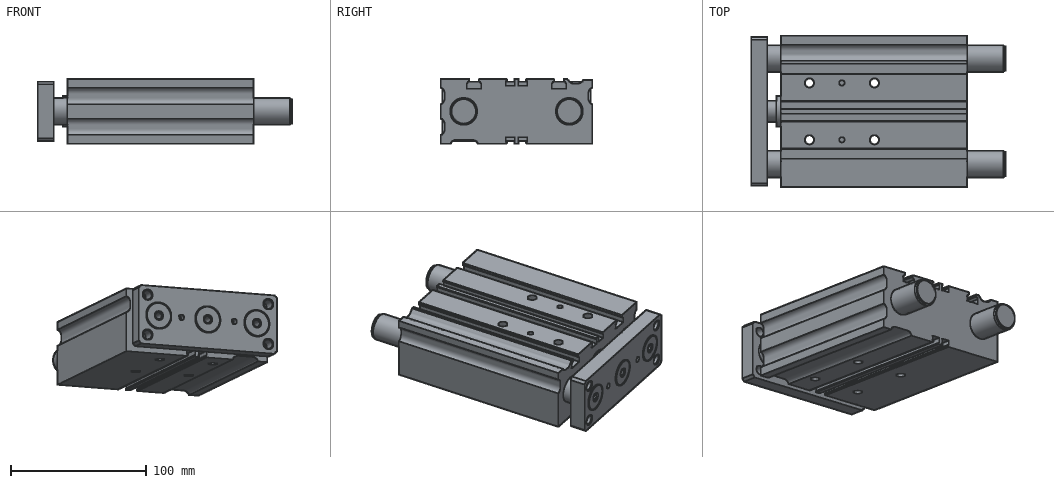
import cadquery as cq
import math


overall_length = 188.0

plate_width = 110.0
plate_height = 44.0
plate_thickness = 12.0
plate_chamfer = 2.0
plate_screw_y = 48.0
plate_screw_z = 15.0
plate_screw_bore = 6.8
plate_screw_mouth = 8.0
plate_screw_mouth_angle = 90.0

pin_diameter = 4.0
pin_depth = 6.0
pin_y = 21.0

housing_start = 22.0
housing_length = 137.5
housing_width = 112.0
housing_height = 48.0
half_width = housing_width / 2
half_height = housing_height / 2

mount_hole_diameter = 6.6
mount_hole_x = (housing_start + 21.0, housing_start + 69.0)
housing_pin_x = sum(mount_hole_x) / len(mount_hole_x)

guide_rod_diameter = 20.0
guide_rod_y = 39.0
guide_tip_diameter = 18.0
guide_tip_length = 1.0

piston_rod_diameter = 16.0
piston_head_diameter = 20.0
piston_rod_end = housing_start + 40.0

rod_face_chamfer = 0.6
rod_tap_diameter = 5.0
rod_tap_mouth = 6.8
rod_tap_depth = 12.0
drill_point_angle = 118.0

collar_diameter = 23.0
collar_start = 18.5
collar_seat_depth = 4.0

groove_depth = 3.0
groove_bevel_width = 0.4
groove_bevel_depth = 0.9
groove_arc_width = 3.9
side_groove_floor = 3.4
side_groove_z = 11.4
bottom_groove_floor = 11.4
bottom_groove_y = -38.6

channel_shoulder_drop = 0.7
channel_shoulder_y = 49.2
channel_floor_outer_y = 44.9
channel_floor_inner_y = 42.4
channel_floor_depth = 3.6
channel_slope_y = 39.3
channel_rib_y = 37.3

slot_inner_y = 27.9
slot_outer_y = 35.0
slot_undercut = 1.7
slot_lip = 1.7
slot_depth = 7.2
slot_edge_chamfer = 0.5

middle_rib_half = 1.8
middle_rib_undercut = 0.4
middle_slot_edge = 7.0
middle_undercut = 0.9
middle_edge_chamfer = 0.7
middle_lip = 0.9
middle_slot_depth = 5.0


def cylinder_x(diameter, start, end, y=0.0):
    """Cylinder along X between two X positions, on the plane Z = 0."""
    return (
        cq.Workplane("YZ", origin=(start, y, 0))
        .circle(diameter / 2)
        .extrude(end - start)
    )


def along_housing(profile):
    """Extrude a closed YZ profile over the housing length."""
    return profile.extrude(housing_length)


def housing_plane():
    """YZ plane at the housing's plate-side end."""
    return cq.Workplane("YZ", origin=(housing_start, 0, 0))


def turn_x(body, angle):
    """Turn a body about the X axis by an angle in degrees."""
    return body.rotate((0, 0, 0), (1, 0, 0), angle)


def arc_rise_middle(width, rise):
    """Middle point of an arc that leaves a flat floor tangentially."""
    half_turn = math.atan2(rise, width)
    radius = width / math.sin(2 * half_turn)
    return radius * math.sin(half_turn), radius * (1 - math.cos(half_turn))


def rounded_groove(floor_width):
    """Groove cutter whose open side lies on Z = 0, centred on Y = 0."""
    floor_half = floor_width / 2
    arc_end = floor_half + groove_arc_width
    edge = arc_end + groove_bevel_width
    mid_y, mid_rise = arc_rise_middle(groove_arc_width, groove_depth - groove_bevel_depth)
    mid_z = mid_rise - groove_depth
    return along_housing(
        housing_plane()
        .moveTo(-edge, 0)
        .lineTo(-arc_end, -groove_bevel_depth)
        .threePointArc((-floor_half - mid_y, mid_z), (-floor_half, -groove_depth))
        .lineTo(floor_half, -groove_depth)
        .threePointArc((floor_half + mid_y, mid_z), (arc_end, -groove_bevel_depth))
        .lineTo(edge, 0)
        .close()
    )


def top_channel():
    """Round channel between the low shoulder and the 45-degree flank of the rib."""
    shoulder_z = half_height - channel_shoulder_drop
    floor_z = half_height - channel_floor_depth
    slope_z = half_height - (channel_slope_y - channel_rib_y)
    outer_width = channel_shoulder_y - channel_floor_outer_y
    inner_width = channel_floor_inner_y - channel_slope_y
    outer_mid, outer_rise = arc_rise_middle(outer_width, shoulder_z - floor_z)
    inner_mid, inner_rise = arc_rise_middle(inner_width, slope_z - floor_z)
    return along_housing(
        housing_plane()
        .moveTo(half_width, half_height)
        .lineTo(half_width, shoulder_z)
        .lineTo(channel_shoulder_y, shoulder_z)
        .threePointArc(
            (channel_floor_outer_y + outer_mid, floor_z + outer_rise),
            (channel_floor_outer_y, floor_z),
        )
        .lineTo(channel_floor_inner_y, floor_z)
        .threePointArc(
            (channel_floor_inner_y - inner_mid, floor_z + inner_rise),
            (channel_slope_y, slope_z),
        )
        .lineTo(channel_rib_y, half_height)
        .close()
    )


def t_slot():
    """T-slot cutter on the +Y half of the top face."""
    undercut_z = half_height - slot_lip - slot_undercut
    lip_z = half_height - slot_lip
    floor_z = half_height - slot_depth
    return along_housing(
        housing_plane().polyline([
            (slot_inner_y - slot_edge_chamfer, half_height),
            (slot_inner_y, half_height - slot_edge_chamfer),
            (slot_inner_y, lip_z),
            (slot_inner_y - slot_undercut, undercut_z),
            (slot_inner_y - slot_undercut, floor_z),
            (slot_outer_y + slot_undercut, floor_z),
            (slot_outer_y + slot_undercut, undercut_z),
            (slot_outer_y, lip_z),
            (slot_outer_y, half_height),
        ]).close()
    )


def middle_slot():
    """Undercut slot cutter on the +Y side of the middle rib of the top face."""
    lip_z = half_height - middle_lip
    undercut_z = lip_z - middle_undercut
    floor_z = half_height - middle_slot_depth
    return along_housing(
        housing_plane().polyline([
            (middle_rib_half, half_height),
            (middle_rib_half, lip_z),
            (middle_rib_half - middle_rib_undercut, lip_z - middle_rib_undercut),
            (middle_rib_half - middle_rib_undercut, floor_z),
            (middle_slot_edge + middle_undercut, floor_z),
            (middle_slot_edge + middle_undercut, undercut_z),
            (middle_slot_edge, lip_z),
            (middle_slot_edge, half_height - middle_edge_chamfer),
            (middle_slot_edge + middle_edge_chamfer, half_height),
        ]).close()
    )


def make_housing():
    body = along_housing(housing_plane().rect(housing_width, housing_height))

    side_groove = rounded_groove(side_groove_floor)
    minus_y_groove = turn_x(side_groove, 90).translate((0, -half_width, 0))
    plus_y_groove = turn_x(side_groove, -90).translate((0, half_width, 0))
    body = body.cut(minus_y_groove.translate((0, 0, side_groove_z)))
    body = body.cut(minus_y_groove.translate((0, 0, -side_groove_z)))
    body = body.cut(plus_y_groove.translate((0, 0, side_groove_z)))

    bottom_groove = turn_x(rounded_groove(bottom_groove_floor), 180)
    body = body.cut(bottom_groove.translate((0, bottom_groove_y, -half_height)))

    body = body.cut(top_channel())
    body = body.cut(t_slot()).cut(t_slot().mirror("XZ"))
    for slot in (middle_slot(), middle_slot().mirror("XZ")):
        body = body.cut(slot).cut(slot.mirror("XY"))

    top = cq.Workplane("XY", origin=(0, 0, half_height))
    for y in (-pin_y, pin_y):
        mount_points = [(x, y) for x in mount_hole_x]
        mount_holes = top.pushPoints(mount_points).circle(mount_hole_diameter / 2)
        body = body.cut(mount_holes.extrude(-housing_height))
        pin_hole = top.center(housing_pin_x, y).circle(pin_diameter / 2)
        body = body.cut(pin_hole.extrude(-pin_depth))

    housing_end = housing_start + housing_length
    for y in (-guide_rod_y, guide_rod_y):
        body = body.cut(cylinder_x(guide_rod_diameter, housing_start, housing_end, y))
    body = body.cut(cylinder_x(piston_rod_diameter, housing_start, piston_rod_end))
    collar_seat_end = housing_start + collar_seat_depth
    return body.cut(cylinder_x(collar_diameter, housing_start, collar_seat_end))


def make_plate():
    body = (
        cq.Workplane("YZ")
        .rect(plate_width, plate_height)
        .extrude(plate_thickness)
        .edges("|X")
        .chamfer(plate_chamfer)
    )
    body = (
        body.faces("<X")
        .workplane(origin=(0, 0, 0))
        .rect(2 * plate_screw_y, 2 * plate_screw_z, forConstruction=True)
        .vertices()
        .cskHole(plate_screw_bore, plate_screw_mouth, plate_screw_mouth_angle)
    )
    for y in (-pin_y, pin_y):
        body = body.cut(cylinder_x(pin_diameter, 0, pin_depth, y))
    for y in (-guide_rod_y, guide_rod_y):
        body = body.cut(cylinder_x(guide_rod_diameter, 0, plate_thickness, y))
    return body.cut(cylinder_x(piston_head_diameter, 0, plate_thickness))


def rod_tap():
    """Countersunk hole with a conical bottom, entering along +X from X = 0."""
    bore_radius = rod_tap_diameter / 2
    mouth_radius = rod_tap_mouth / 2
    point_length = bore_radius / math.tan(math.radians(drill_point_angle / 2))
    return (
        cq.Workplane("XY")
        .polyline([
            (0, 0),
            (0, mouth_radius),
            (mouth_radius - bore_radius, bore_radius),
            (rod_tap_depth, bore_radius),
            (rod_tap_depth + point_length, 0),
        ])
        .close()
        .revolve(360, (0, 0, 0), (1, 0, 0))
    )


def make_guide_rod(y):
    tip_start = overall_length - guide_tip_length
    tip_chamfer = (guide_rod_diameter - guide_tip_diameter) / 2
    body = cylinder_x(guide_rod_diameter, 0, tip_start)
    body = body.faces("<X").chamfer(rod_face_chamfer)
    body = body.faces(">X").chamfer(tip_chamfer)
    body = body.union(cylinder_x(guide_tip_diameter, tip_start, overall_length))
    return body.cut(rod_tap()).translate((0, y, 0))


def make_piston_rod():
    head = cylinder_x(piston_head_diameter, 0, plate_thickness)
    head = head.faces("<X").chamfer(rod_face_chamfer)
    shank = cylinder_x(piston_rod_diameter, plate_thickness, piston_rod_end)
    return head.union(shank).cut(rod_tap())


def make_collar():
    collar_end = housing_start + collar_seat_depth
    ring = cylinder_x(collar_diameter, collar_start, collar_end)
    return ring.cut(cylinder_x(piston_rod_diameter, collar_start, collar_end))


housing = make_housing()
plate = make_plate()
guide_rods = [make_guide_rod(y) for y in (-guide_rod_y, guide_rod_y)]
piston_rod = make_piston_rod()
collar = make_collar()

result = cq.Compound.makeCompound([
    housing.val(),
    plate.val(),
    *[rod.val() for rod in guide_rods],
    piston_rod.val(),
    collar.val(),
])